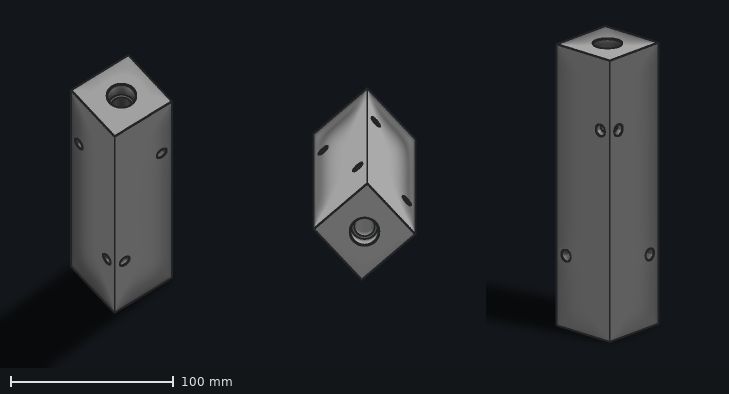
import cadquery as cq

INCH = 25.4

bar_width = 1.75 * INCH
bar_length = 7.25 * INCH
end_edge_chamfer = 0.25

core_diameter = 0.5 * INCH
port_mouth_diameter = 17.15
port_depth = 10.4
port_taper = 1 / 16
port_chamfer = 0.65

cross_diameter = 7.1
cross_chamfer = 0.4
cross_offset = 0.5625 * INCH
cross_height = 1.75 * INCH


def chamfered_bore(mouth_diameter, depth, chamfer, taper=0):
    """Cutter running down from a face at Z = 0, flared by a chamfer at its mouth.

    The mouth diameter is the one just below the chamfer; the taper narrows it from there.
    """
    mouth_radius = mouth_diameter / 2
    floor_radius = mouth_radius - taper * (depth - chamfer) / 2
    profile = [
        (0, 0),
        (mouth_radius + chamfer, 0),
        (mouth_radius, -chamfer),
        (floor_radius, -depth),
        (0, -depth),
    ]
    return cq.Workplane("XZ").polyline(profile).close().revolve(360, (0, 0), (0, 1))


def lengthwise_hole():
    """Core hole through the whole bar plus the tapered ports at both ends."""
    core = cq.Workplane("XY").circle(core_diameter / 2).extrude(bar_length / 2, both=True)
    top_port = chamfered_bore(port_mouth_diameter, port_depth, port_chamfer, port_taper)
    top_port = top_port.translate((0, 0, bar_length / 2))
    return core.union(top_port).union(top_port.mirror("XY"))


def cross_hole(x, z):
    """Hole through the bar along Y, chamfered at both mouths."""
    half_hole = chamfered_bore(cross_diameter, bar_width / 2, cross_chamfer)
    half_hole = half_hole.rotate((0, 0, 0), (1, 0, 0), 90).translate((x, -bar_width / 2, z))
    return half_hole.union(half_hole.mirror("XZ"))


result = cq.Workplane("XY").box(bar_width, bar_width, bar_length)
result = result.faces("<Z or >Z").chamfer(end_edge_chamfer)
result = result.cut(lengthwise_hole())

for side in (-1, 1):
    hole_along_y = cross_hole(side * cross_offset, -side * cross_height)
    hole_along_x = hole_along_y.rotate((0, 0, 0), (0, 0, 1), -90)
    result = result.cut(hole_along_y).cut(hole_along_x)